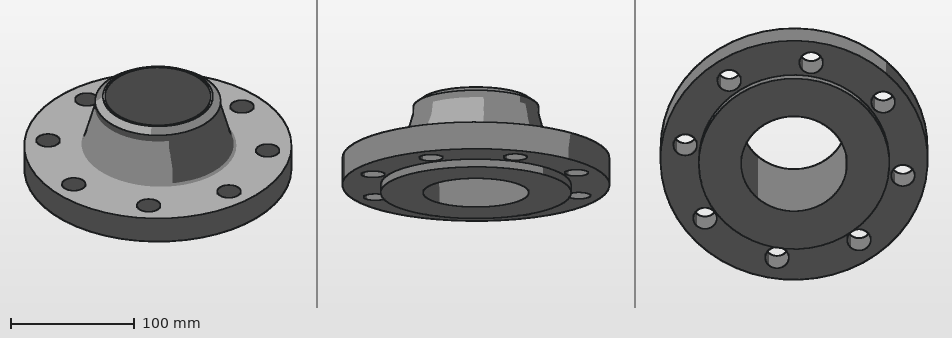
import cadquery as cq


flange_diameter = 215.8
flange_thickness = 22.5
raised_face_diameter = 154.0
raised_face_height = 6.5

total_height = 76.2
bore_diameter = 85.5
hub_base_diameter = 122.2
hub_root_fillet = 3.0
pipe_diameter = 101.5
weld_neck_length = 10.4
bevel_height = 4.5
weld_land_width = 1.7

bolt_count = 8
bolt_circle_diameter = 177.9
bolt_hole_diameter = 19.0

flange_radius = flange_diameter / 2
raised_face_radius = raised_face_diameter / 2
bore_radius = bore_diameter / 2
hub_base_radius = hub_base_diameter / 2
pipe_radius = pipe_diameter / 2
weld_land_radius = bore_radius + weld_land_width
flange_top = raised_face_height + flange_thickness


def flange_body():
    """Revolve the half section of the flange, tapered hub and bevelled weld end."""
    section = [
        (bore_radius, 0),
        (raised_face_radius, 0),
        (raised_face_radius, raised_face_height),
        (flange_radius, raised_face_height),
        (flange_radius, flange_top),
        (hub_base_radius, flange_top),
        (pipe_radius, total_height - weld_neck_length),
        (pipe_radius, total_height - bevel_height),
        (weld_land_radius, total_height),
        (bore_radius, total_height),
    ]
    return cq.Workplane("XZ").polyline(section).close().revolve(360, (0, 0, 0), (0, 1, 0))


def round_hub_root(body):
    """Fillet the circle where the tapered hub meets the flange plate."""
    root_region = cq.selectors.BoxSelector(
        (-hub_base_radius, -hub_base_radius, flange_top - hub_root_fillet),
        (hub_base_radius, hub_base_radius, flange_top + hub_root_fillet),
    )
    root_edge = body.edges("%CIRCLE").edges(root_region).edges(cq.selectors.RadiusNthSelector(0))
    return root_edge.fillet(hub_root_fillet)


def bolt_holes():
    """Cylinders for the evenly spaced bolt holes, through the flange plate."""
    return (
        cq.Workplane("XY")
        .workplane(offset=raised_face_height)
        .polarArray(bolt_circle_diameter / 2, 0, 360, bolt_count)
        .circle(bolt_hole_diameter / 2)
        .extrude(flange_thickness)
    )


result = round_hub_root(flange_body()).cut(bolt_holes())